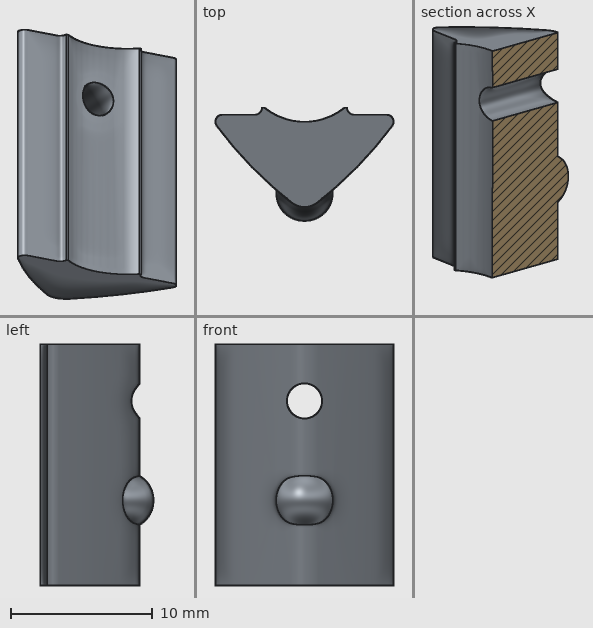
import cadquery as cq
import math

width = 12.56
length = 17.0
nose_depth = 6.5
nose_radius = 1.5
corner_radius = 0.5
side_radius = 28.0

groove_radius = 4.5
groove_depth = 0.5
lip_height = 0.5
lip_half_width = 3.0
lip_fillet_radius = lip_height

hole_diameter = 2.46
hole_z = 13.0
ball_radius = 2.0
ball_protrusion = 1.0
ball_z = 6.0

nose_center = (0.0, nose_radius - nose_depth)
corner_center = (width / 2 - corner_radius, -corner_radius)


def flank_center():
    """Center of the +X flank arc, tangent to the nose and corner arcs."""
    dx = corner_center[0] - nose_center[0]
    dy = corner_center[1] - nose_center[1]
    spacing = math.hypot(dx, dy)
    to_nose = side_radius - nose_radius
    to_corner = side_radius - corner_radius
    along = (spacing**2 + to_nose**2 - to_corner**2) / (2 * spacing)
    across = math.sqrt(to_nose**2 - along**2)
    return (
        nose_center[0] + (along * dx - across * dy) / spacing,
        nose_center[1] + (along * dy + across * dx) / spacing,
    )


def point_on_circle(center, radius, angle):
    return (center[0] + radius * math.cos(angle), center[1] + radius * math.sin(angle))


def mirrored(point):
    return (-point[0], point[1])


def make_body():
    flank = flank_center()
    nose_angle = math.atan2(nose_center[1] - flank[1], nose_center[0] - flank[0])
    corner_angle = math.atan2(corner_center[1] - flank[1], corner_center[0] - flank[0])

    nose_tip = (0.0, -nose_depth)
    flank_start = point_on_circle(flank, side_radius, nose_angle)
    flank_middle = point_on_circle(flank, side_radius, (nose_angle + corner_angle) / 2)
    flank_end = point_on_circle(flank, side_radius, corner_angle)
    corner_middle = point_on_circle(corner_center, corner_radius, (corner_angle + math.pi / 2) / 2)
    corner_end = (corner_center[0], 0.0)
    lip_fillet_center = (lip_half_width + lip_fillet_radius, lip_fillet_radius)
    lip_foot = (lip_fillet_center[0], 0.0)
    lip_fillet_middle = point_on_circle(lip_fillet_center, lip_fillet_radius, math.radians(225))
    lip_outer = (lip_half_width, lip_height)
    groove_sagitta = groove_depth + lip_height
    groove_half_width = math.sqrt(groove_sagitta * (2 * groove_radius - groove_sagitta))
    groove_edge = (groove_half_width, lip_height)
    groove_bottom = (0.0, -groove_depth)

    profile = (
        cq.Workplane("XY")
        .moveTo(*flank_start)
        .threePointArc(flank_middle, flank_end)
        .threePointArc(corner_middle, corner_end)
        .lineTo(*lip_foot)
        .threePointArc(lip_fillet_middle, lip_outer)
        .lineTo(*groove_edge)
        .threePointArc(groove_bottom, mirrored(groove_edge))
        .lineTo(*mirrored(lip_outer))
        .threePointArc(mirrored(lip_fillet_middle), mirrored(lip_foot))
        .lineTo(*mirrored(corner_end))
        .threePointArc(mirrored(corner_middle), mirrored(flank_end))
        .threePointArc(mirrored(flank_middle), mirrored(flank_start))
        .threePointArc(nose_tip, flank_start)
        .close()
    )
    return profile.extrude(length)


def make_ball():
    ball_y = ball_radius - ball_protrusion - nose_depth
    return cq.Workplane("XY").sphere(ball_radius).translate((0, ball_y, ball_z))


def make_cross_hole():
    return (
        cq.Workplane("XZ")
        .center(0, hole_z)
        .circle(hole_diameter / 2)
        .extrude(2 * nose_depth, both=True)
    )


result = make_body().union(make_ball()).cut(make_cross_hole())